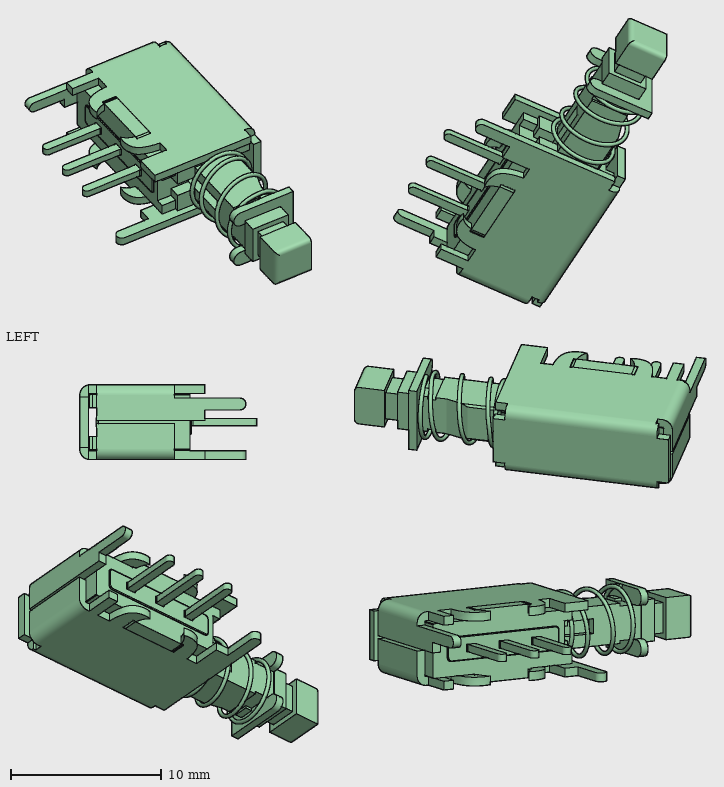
import cadquery as cq
import math


frame_length = 12.0
frame_half_height = 2.5
sheet = 0.6
bend_radius = 0.7
wall_inner_z = frame_half_height - sheet
front_edge_y = -6.3
tab_end_y = -8.34
leg_end_y = -11.08

bend_start_x = 0.8
bend_end_x = 11.2
back_strip_half_height = 1.69
back_relief_x = 1.0
back_relief_y = -1.13
right_relief_y = -0.8

seam_half_gap = 0.1
left_foot_top_z = 1.61
leg_width = 0.8

left_tab_x = (0.87, 1.61)
right_tab_x = (10.2, frame_length)

hook_root = (2.62, front_edge_y)
hook_outer_curve = [(2.79, -7.32), (3.17, -7.99), (3.75, -8.26), (4.52, -8.23)]
hook_inner_mid = (4.22, -7.88)
hook_heel_x = 4.05

housing_half_height = 1.85
housing_bottom_y = -7.35
housing_end_x = 11.6
back_clearance = 0.05
housing_back_y = -(sheet + back_clearance)
housing_edge_chamfer = 0.05
back_step_x = 1.3
back_step_y = -0.87
back_groove_half_height = 0.95
back_groove_floor_y = -1.25
lip_end_x = 11.34
lip_top_y = front_edge_y
lip_notch_x = 10.75
lip_notch_half_height = 1.1
rib_length = 4.4
rib_end_chamfer = 0.2
rib_chamfer_depth = 0.1

center_x = 6.0
pin_pitch = 2.5
pin_width = 0.62
pin_thickness = 0.5
pin_end_y = -11.8
collar_width = 0.72
collar_length = 0.1
block_length = 8.6
block_half_height = 0.83
block_corner = 0.3
block_edge_chamfer = 0.06
block_standout = 0.1
block_depth = 1.0

plunger_start_x = 9.0
plunger_half_height = 1.36
plunger_bottom_y = -4.94
plunger_tall_y = -1.79
plunger_low_y = -2.25
slope_start_x = 14.15
slope_end_x = 15.7
edge_chamfer = 0.14
waist_x = 16.45
waist_half_height = 1.17
slot_half_height = 0.5
slot_end_x = 14.39
slot_depth = 0.6

flange_x = 17.5
flange_end_x = 18.05
flange_half_height = 2.3
flange_top_y = -1.24
flange_bottom_y = -5.9
stop_start_x = 17.0
stop_bottom_y = -3.3

collar_end_x = 19.05
neck_end_x = 19.95
head_end_x = 22.0
head_half_height = 1.43
head_bottom_y = -5.03
neck_half_height = 1.03
neck_inset_y = 0.4
head_round = 0.33

spring_axis_y = -3.425
wire_diameter = 0.28
coil_radius = 2.2
spring_start_x = 12.15
coil_sections = [(1.0, 0.38), (2.25, 4.42), (1.0, 0.41)]
points_per_turn = 16


def block(x, y, z):
    """Box between pairs of limits along X, Y and Z."""
    size = [max(pair) - min(pair) for pair in (x, y, z)]
    return cq.Workplane("XY").box(*size, centered=False).translate((min(x), min(y), min(z)))


def mirrored_z(half):
    """Limits along Z on both sides of the mid plane."""
    return (-half, half)


def round_end_blade(width, length, thickness):
    """Blade along -Y from the origin plane, centred on X, with a full round at its far end."""
    half = width / 2
    return (
        cq.Workplane("XY")
        .moveTo(-half, 0)
        .lineTo(-half, half - length)
        .threePointArc((0, -length), (half, half - length))
        .lineTo(half, 0)
        .close()
        .extrude(thickness)
    )


def upright(blade):
    """Turn a blade so that its width runs along Z and its thickness along X."""
    return blade.rotate((0, 0, 0), (0, 1, 0), 90)


def sliding_bar(end_x):
    """Inner end of the plunger, which is also the shape of its passage in the housing."""
    bar = block(
        (plunger_start_x, end_x),
        (plunger_bottom_y, plunger_tall_y),
        mirrored_z(plunger_half_height),
    )
    return bar.edges("|X and >Y").chamfer(edge_chamfer)


def bent_channel(bend_edges, outer, inner):
    """Sheet channel: outer box with rounded edges, less an inner box with concentric edges."""
    shell = outer.edges(bend_edges).fillet(bend_radius)
    core = inner.edges(bend_edges).fillet(bend_radius - sheet)
    return shell.cut(core)


def back_channel():
    """Top plate, back wall and bottom plate."""
    x_range = (bend_start_x, bend_end_x)
    return bent_channel(
        "|X and >Y",
        block(x_range, (front_edge_y, 0), mirrored_z(frame_half_height)),
        block(x_range, (front_edge_y, -sheet), mirrored_z(wall_inner_z)),
    )


def left_walls():
    """Left walls bent from the two plates, meeting at a narrow seam."""
    y_range = (front_edge_y, back_relief_y)
    walls = bent_channel(
        "|Y and <X",
        block((0, back_relief_x + sheet), y_range, mirrored_z(frame_half_height)),
        block((sheet, back_relief_x + sheet), y_range, mirrored_z(wall_inner_z)),
    )
    return walls.cut(block((0, sheet), y_range, mirrored_z(seam_half_gap)))


def left_leg():
    """Foot and round-ended solder leg below the upper left wall."""
    foot = block((0, sheet), (tab_end_y, front_edge_y), (seam_half_gap, left_foot_top_z))
    leg = upright(round_end_blade(leg_width, tab_end_y - leg_end_y, sheet))
    return foot.union(leg.translate((0, tab_end_y, left_foot_top_z - leg_width / 2)))


def plate_details():
    """Right end, tabs and hooks of the bottom plate, drawn from its outer face upward."""
    z_range = (0, sheet)
    plate = block((bend_end_x, frame_length), (front_edge_y, right_relief_y), z_range)
    for tab_x in (left_tab_x, right_tab_x):
        plate = plate.union(block(tab_x, (tab_end_y, front_edge_y), z_range))
    hook = (
        cq.Workplane("XY")
        .moveTo(*hook_root)
        .spline(hook_outer_curve, includeCurrent=True)
        .threePointArc(hook_inner_mid, (hook_heel_x, housing_bottom_y))
        .lineTo(center_x - rib_length / 2, housing_bottom_y)
        .lineTo(center_x - rib_length / 2, front_edge_y)
        .close()
        .extrude(sheet)
    )
    plate = plate.union(hook)
    return plate.union(hook.mirror("YZ", (center_x, 0, 0)))


def make_frame():
    """Bent sheet metal frame with its back strip, hooks, tabs and two solder legs."""
    frame = back_channel().union(left_walls()).union(left_leg())
    frame = frame.cut(
        block((0, back_relief_x), (back_relief_y, -sheet), mirrored_z(frame_half_height))
    )
    frame = frame.union(block((0, frame_length), (-sheet, 0), mirrored_z(back_strip_half_height)))
    bottom = plate_details().translate((0, 0, -frame_half_height))
    right_leg = round_end_blade(leg_width, tab_end_y - leg_end_y, sheet)
    right_leg = right_leg.translate((frame_length - leg_width / 2, tab_end_y, -frame_half_height))
    return frame.union(bottom).union(bottom.mirror("XY")).union(right_leg)


def housing_rib():
    """Rib filling the opening between the hooks, flush with both plates."""
    half = rib_length / 2
    top_half = half - rib_end_chamfer
    shoulder_z = frame_half_height - rib_chamfer_depth
    outline = [
        (-half, -shoulder_z),
        (-top_half, -frame_half_height),
        (top_half, -frame_half_height),
        (half, -shoulder_z),
        (half, shoulder_z),
        (top_half, frame_half_height),
        (-top_half, frame_half_height),
        (-half, shoulder_z),
    ]
    rib = cq.Workplane("XZ").polyline(outline).close().extrude(front_edge_y - housing_bottom_y)
    return rib.translate((center_x, front_edge_y, 0))


def make_housing(terminal_body):
    """Insulating housing, recessed for the terminals and the plunger."""
    full_z = mirrored_z(housing_half_height)
    body = block((sheet, housing_end_x), (housing_bottom_y, housing_back_y), full_z)
    body = body.edges("|X and >Y").chamfer(housing_edge_chamfer)
    body = body.edges("|Y and <X").chamfer(housing_edge_chamfer)
    body = body.cut(block((0, back_relief_x), (back_relief_y, 0), full_z))
    body = body.cut(block((0, back_step_x), (back_step_y, 0), full_z))
    body = body.cut(
        block((0, frame_length), (back_groove_floor_y, 0), mirrored_z(back_groove_half_height))
    )
    lip_y = (housing_bottom_y, lip_top_y)
    body = body.cut(block((lip_end_x, frame_length), lip_y, full_z))
    body = body.cut(block((lip_notch_x, frame_length), lip_y, mirrored_z(lip_notch_half_height)))
    body = body.cut(
        block((lip_notch_x, frame_length), (lip_top_y, plunger_bottom_y), mirrored_z(slot_half_height))
    )
    body = body.union(housing_rib())
    return body.cut(terminal_body).cut(sliding_bar(frame_length))


def make_terminals():
    """Insulating block with its three pins."""
    base_y = housing_bottom_y - block_standout
    half_length = block_length / 2
    body = block(
        (center_x - half_length, center_x + half_length),
        (base_y, base_y + block_depth),
        mirrored_z(block_half_height),
    )
    body = body.edges("|Y").fillet(block_corner)
    body = body.faces("<Y").chamfer(block_edge_chamfer)
    for index in (-1, 0, 1):
        pin_x = center_x + index * pin_pitch
        pin = round_end_blade(pin_width, base_y - pin_end_y, pin_thickness)
        pin = pin.translate((pin_x, base_y, -pin_thickness / 2))
        collar = block(
            (pin_x - collar_width / 2, pin_x + collar_width / 2),
            (base_y - collar_length, base_y),
            mirrored_z(pin_thickness / 2),
        )
        body = body.union(pin).union(collar)
    return body


def plunger_shaft():
    """Slider that drops from its tall inner part to the waist behind the flange."""
    shaft = sliding_bar(waist_x)
    slope = (
        cq.Workplane("XY")
        .moveTo(slope_start_x, plunger_tall_y)
        .lineTo(slope_end_x, plunger_low_y)
        .lineTo(waist_x, plunger_low_y)
        .lineTo(waist_x, plunger_tall_y)
        .close()
        .extrude(plunger_half_height, both=True)
    )
    slot = block(
        (plunger_start_x, slot_end_x),
        (plunger_bottom_y, plunger_bottom_y + slot_depth),
        mirrored_z(slot_half_height),
    )
    waist = block(
        (waist_x, flange_x),
        (plunger_bottom_y, plunger_low_y),
        mirrored_z(waist_half_height),
    )
    stop = block(
        (stop_start_x, flange_x),
        (stop_bottom_y, plunger_low_y),
        mirrored_z(plunger_half_height),
    )
    return shaft.cut(slope).cut(slot).union(waist).union(stop)


def plunger_flange():
    """Spring seat with two round-ended lobes hanging below the shaft."""
    x_range = (flange_x, flange_end_x)
    lobe_width = flange_half_height - waist_half_height
    lobe_center_z = (flange_half_height + waist_half_height) / 2
    flange = block(x_range, (plunger_bottom_y, flange_top_y), mirrored_z(flange_half_height))
    lobe = upright(
        round_end_blade(lobe_width, plunger_bottom_y - flange_bottom_y, flange_end_x - flange_x)
    )
    for z in (-lobe_center_z, lobe_center_z):
        flange = flange.union(lobe.translate((flange_x, plunger_bottom_y, z)))
    return flange


def plunger_head():
    """Collar, narrow neck and rounded push end."""
    y_range = (head_bottom_y, plunger_low_y)
    neck_y = (head_bottom_y + neck_inset_y, plunger_low_y - neck_inset_y)
    collar = block((flange_end_x, collar_end_x), y_range, mirrored_z(head_half_height))
    neck = block((collar_end_x, neck_end_x), neck_y, mirrored_z(neck_half_height))
    head = block((neck_end_x, head_end_x), y_range, mirrored_z(head_half_height))
    head = head.faces(">X").edges("|Y or <Y").fillet(head_round)
    return collar.union(neck).union(head)


def make_plunger():
    """Sliding shaft with spring flange and push end."""
    return plunger_shaft().union(plunger_flange()).union(plunger_head())


def make_spring():
    """Round wire coil starting on the +Y side and turning toward +Z."""
    path_points = []
    x = spring_start_x
    turn = 0.0
    for turns, advance in coil_sections:
        steps = round(turns * points_per_turn)
        for step in range(steps):
            angle = 2 * math.pi * (turn + turns * step / steps)
            path_points.append((x + advance * step / steps, angle))
        x += advance
        turn += turns
    path_points.append((x, 2 * math.pi * turn))
    path = cq.Workplane("XY").spline([
        (px, spring_axis_y + coil_radius * math.cos(angle), coil_radius * math.sin(angle))
        for px, angle in path_points
    ])
    wire_plane = cq.Plane(
        origin=(spring_start_x, spring_axis_y + coil_radius, 0),
        xDir=(1, 0, 0),
        normal=(0, 0, 1),
    )
    return cq.Workplane(wire_plane).circle(wire_diameter / 2).sweep(path, isFrenet=True)


frame = make_frame()
terminals = make_terminals()
plunger = make_plunger()
housing = make_housing(terminals)
spring = make_spring()

result = cq.Compound.makeCompound(
    [body.solids().val() for body in (frame, housing, terminals, plunger, spring)]
)